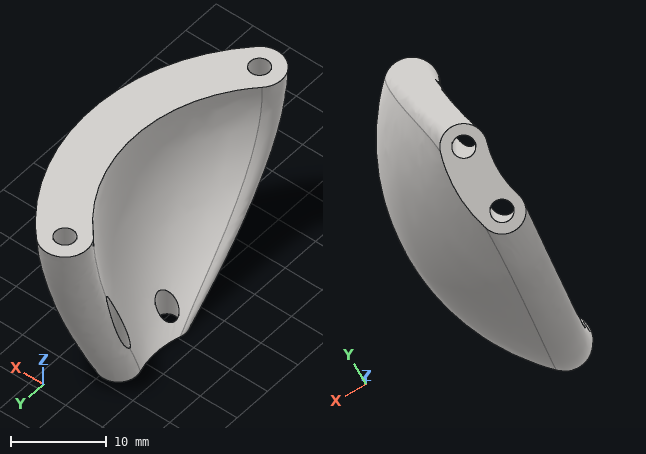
import cadquery as cq
import math

height = 20.0
hole_diameter = 2.5
top_hole_depth = 5.0

top_end_radius = 3.0
top_end_x = 0
top_end_y = 19 - top_end_radius
top_rise = 6.65

base_end_radius = 2.5
base_end_x = -3.95
base_back_y = 12.0
base_front_y = 4.0
base_rise = 0.6

front_power = 2.1
back_power = 1.8
rise_power = 2.0
end_x_power = 1.7
section_count = 8


def blend(top_value, base_value, depth_ratio, power):
    """Value at a depth ratio of 0 (top) to 1 (base); steeper towards the base."""
    return top_value + (base_value - top_value) * depth_ratio ** power


def band_section(depth_ratio):
    """Horizontal wire of the round-ended arc band at one level."""
    end_x = blend(top_end_x, base_end_x, depth_ratio, end_x_power)
    back_y = blend(top_end_y, base_back_y, depth_ratio, back_power)
    front_y = blend(-top_end_y, base_front_y, depth_ratio, front_power)
    rise = blend(top_rise, base_rise, depth_ratio, rise_power)
    end_radius = blend(top_end_radius, base_end_radius, depth_ratio, 1)

    half_chord = (back_y - front_y) / 2
    arc_radius = (half_chord ** 2 + rise ** 2) / (2 * rise)
    center_x = end_x + rise - arc_radius
    center_y = (back_y + front_y) / 2
    half_angle = math.asin(half_chord / arc_radius)

    def polar(radius, angle):
        return (center_x + radius * math.cos(angle), center_y + radius * math.sin(angle))

    def end_tip(side):
        """Extreme point of a round end, along the centreline direction."""
        x, y = polar(arc_radius, side * half_angle)
        return (x - end_radius * math.sin(half_angle), y + side * end_radius * math.cos(half_angle))

    inner = arc_radius - end_radius
    outer = arc_radius + end_radius
    return (
        cq.Workplane("XY", origin=(0, 0, height * (1 - depth_ratio)))
        .moveTo(*polar(outer, -half_angle))
        .threePointArc(polar(outer, 0), polar(outer, half_angle))
        .threePointArc(end_tip(1), polar(inner, half_angle))
        .threePointArc(polar(inner, 0), polar(inner, -half_angle))
        .threePointArc(end_tip(-1), polar(outer, -half_angle))
        .close()
        .val()
    )


depth_ratios = [1 - i / (section_count - 1) for i in range(section_count)]
body = cq.Workplane(cq.Solid.makeLoft([band_section(ratio) for ratio in depth_ratios]))

top_holes = (
    cq.Workplane("XY", origin=(0, 0, height))
    .pushPoints([(top_end_x, -top_end_y), (top_end_x, top_end_y)])
    .circle(hole_diameter / 2)
    .extrude(-top_hole_depth)
)

base_holes = (
    cq.Workplane("XY")
    .pushPoints([(base_end_x, base_front_y), (base_end_x, base_back_y)])
    .circle(hole_diameter / 2)
    .extrude(height)
)

result = body.cut(top_holes).cut(base_holes)